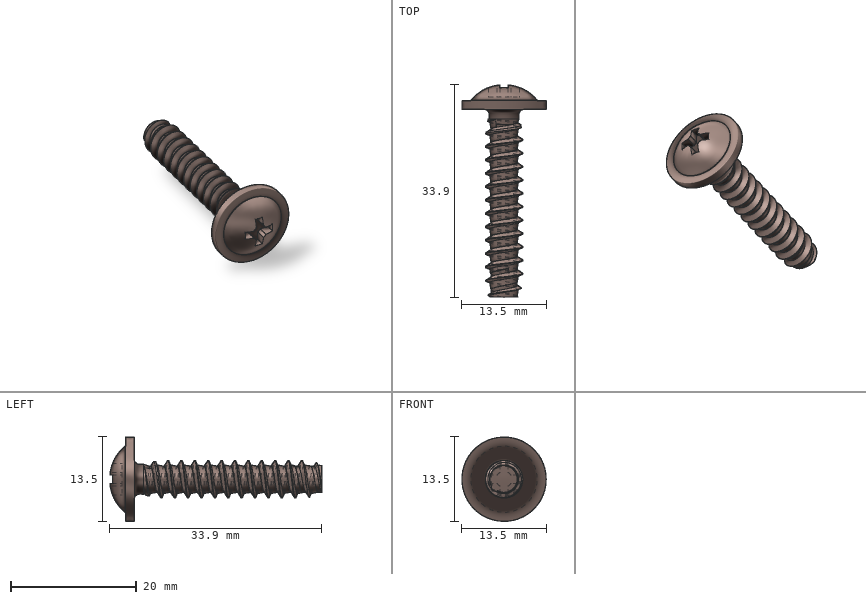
import cadquery as cq
import math


flange_radius = 6.75
flange_thickness = 1.4
flange_edge_round = 0.1
dome_base_radius = 5.3
dome_base_height = 1.5
dome_apex_height = 4.0
head_height = 3.88

recess_depth = 2.0
recess_wing_width = 1.3
recess_wing_radius = 2.5

shank_length = 30.0
neck_radius = 2.4
neck_length = 1.5
neck_fillet = 0.8
neck_cone_length = 0.9
core_radius = 2.09
tip_cone_height = 0.05

pitch = 2.138
crest_radius = 3.0
root_radius = 2.105
tip_side_foot_radius = 2.3
crest_half_width = 0.06
head_side_core = 0.62
tip_side_foot = 0.34
root_gap = 0.06
root_overlap = 0.2
first_crest_depth = 2.72
extra_start_turns = 0.65
envelope_start_radius = 2.55
envelope_radius = 3.2
run_in_slope = 0.16
run_out_turn = 11.2
run_out_shift_per_turn = 0.43
run_out_cut_width = 1.35
run_out_cut_floor_width = 1.2
run_out_cut_overlap = 0.03

dome_rise = dome_apex_height - dome_base_height
dome_sphere_radius = (dome_base_radius**2 + dome_rise**2) / (2 * dome_rise)

cap_drop = dome_apex_height - head_height
recess_core_radius = math.sqrt(cap_drop * (2 * dome_sphere_radius - cap_drop))


def make_head():
    """Domed washer head, standing on the -Z side of the underside plane."""
    flange = cq.Workplane("XY").circle(flange_radius).extrude(-flange_thickness)
    flange = flange.edges().fillet(flange_edge_round)
    mid_angle = math.asin(dome_base_radius / dome_sphere_radius) / 2
    mid_point = (
        dome_sphere_radius * math.sin(mid_angle),
        -dome_apex_height + dome_sphere_radius * (1 - math.cos(mid_angle)),
    )
    dome = (
        cq.Workplane("XZ")
        .moveTo(0, -dome_apex_height)
        .threePointArc(mid_point, (dome_base_radius, -dome_base_height))
        .lineTo(dome_base_radius, -flange_thickness)
        .lineTo(0, -flange_thickness)
        .close()
        .revolve(360, (0, 0, 0), (0, 1, 0))
    )
    return flange.union(dome)


def make_recess():
    """Blind cross of two wings round a cylindrical centre."""
    base = cq.Workplane("XY").workplane(offset=-dome_apex_height)
    recess = base.circle(recess_core_radius).extrude(recess_depth)
    wing_length = 2 * recess_wing_radius
    recess = recess.union(base.rect(wing_length, recess_wing_width).extrude(recess_depth))
    return recess.union(base.rect(recess_wing_width, wing_length).extrude(recess_depth))


def make_shank():
    """Neck with its fillet under the head, threaded core and shallow conical tip."""
    fillet_mid = neck_fillet * (1 - math.sqrt(0.5))
    return (
        cq.Workplane("XZ")
        .moveTo(0, -flange_thickness)
        .lineTo(neck_radius + neck_fillet, -flange_thickness)
        .lineTo(neck_radius + neck_fillet, 0)
        .threePointArc((neck_radius + fillet_mid, fillet_mid), (neck_radius, neck_fillet))
        .lineTo(neck_radius, neck_length)
        .lineTo(core_radius, neck_length + neck_cone_length)
        .lineTo(core_radius, shank_length - tip_cone_height)
        .lineTo(0, shank_length)
        .close()
        .revolve(360, (0, 0, 0), (0, 1, 0))
    )


def make_thread_envelope():
    """Turned shape that limits the crest of the run-in and ends the thread at the tip."""
    end_depth = shank_length - tip_cone_height
    run_in_length = (envelope_radius - envelope_start_radius) / run_in_slope
    return (
        cq.Workplane("XZ")
        .moveTo(0, neck_length)
        .lineTo(envelope_start_radius, neck_length)
        .lineTo(envelope_radius, neck_length + run_in_length)
        .lineTo(envelope_radius, end_depth)
        .lineTo(0, end_depth)
        .close()
        .revolve(360, (0, 0, 0), (0, 1, 0))
    )


def sweep_helix(outline, helix_pitch, start_turn, end_depth):
    """Sweep an outline, given relative to the crest, along a right-handed helix.

    start_turn counts turns from the first crest on the local +X side.
    """
    start_depth = first_crest_depth + start_turn * pitch
    helix = cq.Wire.makeHelix(helix_pitch, end_depth - start_depth, core_radius)
    swept = cq.Workplane("XZ").polyline(outline).close().sweep(cq.Workplane(helix), isFrenet=True)
    swept = swept.rotate((0, 0, 0), (0, 0, 1), 360 * start_turn)
    return swept.translate((0, 0, start_depth))


def make_thread():
    """Right-hand ridge: a sharp thread with a root that tapers down to the next turn."""
    inner_radius = core_radius - root_overlap
    tip_side_core = pitch - head_side_core - root_gap
    ridge_outline = [
        (inner_radius, -head_side_core),
        (root_radius, -head_side_core),
        (crest_radius, -crest_half_width),
        (crest_radius, crest_half_width),
        (tip_side_foot_radius, tip_side_foot),
        (root_radius, tip_side_core),
        (inner_radius, tip_side_core),
    ]
    ridge = sweep_helix(ridge_outline, pitch, -extra_start_turns, shank_length + pitch)
    return ridge.cut(make_run_out_cut()).intersect(make_thread_envelope())


def make_run_out_cut():
    """Cutter that thins the last turns of the ridge from the head side.

    Its longer pitch moves the head-side flank steadily towards the tip.
    """
    cut_radius = core_radius - run_out_cut_overlap
    flank_slope = (head_side_core - crest_half_width) / (crest_radius - root_radius)
    outer_flank = -crest_half_width + flank_slope * (envelope_radius - crest_radius)
    inner_flank = -crest_half_width - flank_slope * (crest_radius - cut_radius)
    cut_outline = [
        (cut_radius, inner_flank),
        (envelope_radius, outer_flank),
        (envelope_radius, -run_out_cut_width),
        (tip_side_foot_radius, -run_out_cut_width),
        (cut_radius, -run_out_cut_floor_width),
    ]
    cut_pitch = pitch + run_out_shift_per_turn
    return sweep_helix(cut_outline, cut_pitch, run_out_turn, shank_length + pitch)


screw = make_head().cut(make_recess()).union(make_shank()).union(make_thread())

result = screw.rotate((0, 0, 0), (1, 0, 0), 90)